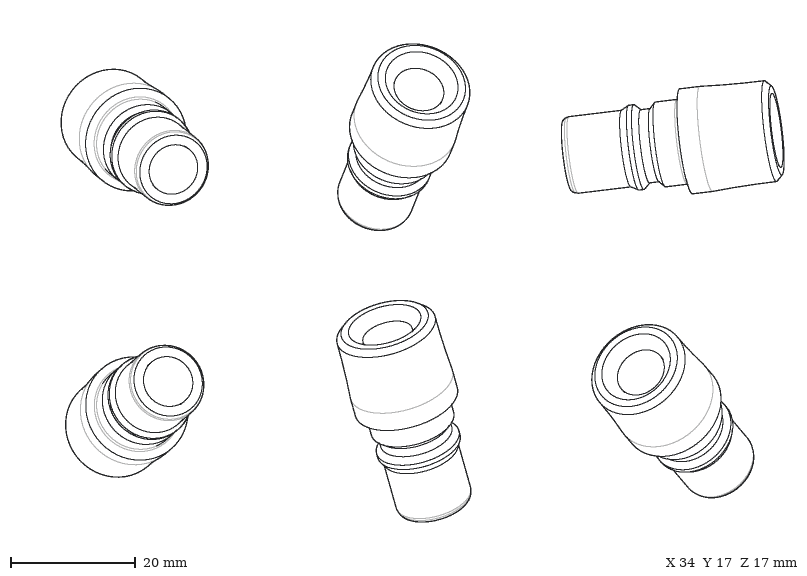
import cadquery as cq

total_length = 34.0

collar_radius = 17.0 / 2
sleeve_radius = 8.15
sleeve_chamfer = 0.95
sleeve_waist_x = 6.12
sleeve_waist_radius = 8.23
collar_start = 11.4
collar_end = 14.7

shoulder_root_x = 14.93
shoulder_root_radius = 7.15
root_fillet_mid_x = 15.05
root_fillet_mid_radius = 6.95
root_fillet_end = 15.35

body_radius = 13.75 / 2
groove_radius = 11.85 / 2
groove_start = 18.87
groove_floor_start = 19.8
groove_floor_end = 21.35
groove_end = 22.37
rib_end = 23.2

spigot_radius = 12.4 / 2
spigot_start = 24.4
tip_taper_start = 32.98
tip_round_start = 33.42
tip_round_radius = 6.1
tip_round_mid_x = 33.8
tip_round_mid_radius = 5.9
tip_face_radius = 5.68

bore_radius = 8.2 / 2
flare_mouth_radius = 6.0
flare_depth = 1.95
flare_mid_x = 0.9
flare_mid_radius = 4.95


def make_outer_body():
    """Revolve the stepped outer profile; X is the axis and Y the radius."""
    profile = (
        cq.Workplane("XY")
        .moveTo(0, 0)
        .lineTo(0, sleeve_radius - sleeve_chamfer)
        .lineTo(sleeve_chamfer, sleeve_radius)
        .threePointArc((sleeve_waist_x, sleeve_waist_radius), (collar_start, collar_radius))
        .lineTo(collar_end, collar_radius)
        .lineTo(shoulder_root_x, shoulder_root_radius)
        .threePointArc((root_fillet_mid_x, root_fillet_mid_radius), (root_fillet_end, body_radius))
        .lineTo(groove_start, body_radius)
        .lineTo(groove_floor_start, groove_radius)
        .lineTo(groove_floor_end, groove_radius)
        .lineTo(groove_end, body_radius)
        .lineTo(rib_end, body_radius)
        .lineTo(spigot_start, spigot_radius)
        .lineTo(tip_taper_start, spigot_radius)
        .lineTo(tip_round_start, tip_round_radius)
        .threePointArc((tip_round_mid_x, tip_round_mid_radius), (total_length, tip_face_radius))
        .lineTo(total_length, 0)
        .close()
    )
    return profile.revolve(360, (0, 0, 0), (1, 0, 0))


def make_bore():
    """Revolve the flared passage that runs through the whole part."""
    profile = (
        cq.Workplane("XY")
        .moveTo(0, 0)
        .lineTo(0, flare_mouth_radius)
        .threePointArc((flare_mid_x, flare_mid_radius), (flare_depth, bore_radius))
        .lineTo(total_length, bore_radius)
        .lineTo(total_length, 0)
        .close()
    )
    return profile.revolve(360, (0, 0, 0), (1, 0, 0))


result = make_outer_body().cut(make_bore())